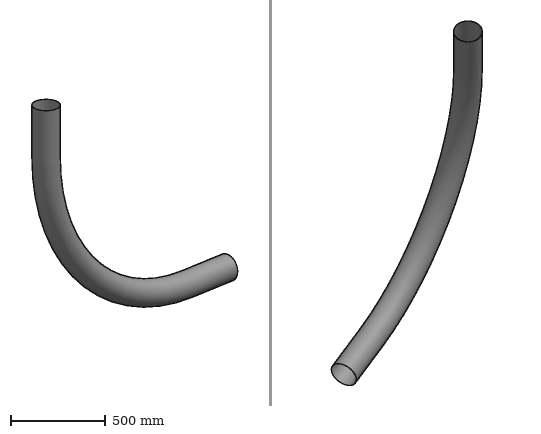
import cadquery as cq

outer_diameter = 152.4
inner_diameter = 149.2
bend_radius = 1066.8
straight_length = 304.8
bend_angle = 90.0


def ring(workplane):
    """Draw the tube cross-section on a workplane centred on the tube axis."""
    return workplane.circle(outer_diameter / 2).circle(inner_diameter / 2)


def horizontal_end():
    """Straight tube along +Y, leaving the bend at the origin."""
    return ring(cq.Workplane("XZ")).extrude(-straight_length)


def bend():
    """Quarter bend that turns from the Y direction at the origin up to +Z."""
    axis_start = (0, bend_radius)
    axis_end = (-1, bend_radius)
    return ring(cq.Workplane("XZ")).revolve(bend_angle, axis_start, axis_end)


def vertical_end():
    """Straight tube along +Z, leaving the upper end of the bend."""
    bend_end = (0, -bend_radius, bend_radius)
    return ring(cq.Workplane("XY", origin=bend_end)).extrude(straight_length)


result = bend().union(horizontal_end()).union(vertical_end())